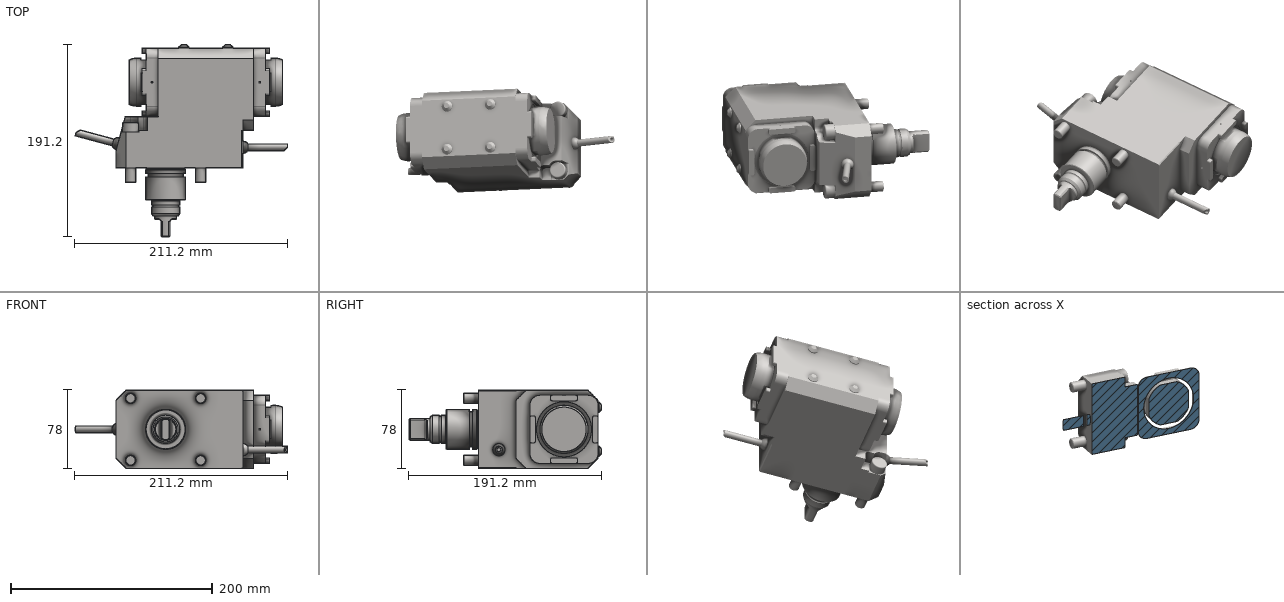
import cadquery as cq
import math


HEIGHT = 78.0
HALF_HEIGHT = HEIGHT / 2
FRONT_LEFT = -49.5
FRONT_RIGHT = 76.7
FRONT_RIGHT_DEPTH = 37.4
REAR_LEFT = -7.4
REAR_RIGHT = 87.5
REAR_Y = 119.1
SHOULDER_Y = 51.0
SLOPE_START_Y = 16.7
SLOPE_ANGLE = 15.0
BEVEL = 10.1
EDGE_BREAK = 1.0

SCREW_X = 34.9
SCREW_Z = 30.8
SCREW_DIA = 10.5
SCREW_PROTRUSION = 14.5
SCREW_CHAMFER = 0.6
HEAD_DIA = 16.0
HEAD_LENGTH = 9.7
HEAD_FILLET = 1.3
COUNTERBORE_RADIUS = 8.2
COUNTERBORE_Y = 35.5
SIDE_POCKET_X = -18.0
SIDE_POCKET_Y = 37.4
SIDE_POCKET_FILLET = 4.0

OUTPUT_X = (REAR_LEFT + REAR_RIGHT) / 2
PLATE_SIZE = 67.8
OUTPUT_Y = REAR_Y - PLATE_SIZE / 2
PLATE_THICKNESS = 12.0
PLATE_FILLET = 10.0
RECESS_DIA = 54.7
RECESS_DEPTH = 1.0
PIN_HOLE_DIA = 1.7
PIN_HOLE_DEPTH = 2.1
PIN_HOLE_INSET = 6.0
LUG_LENGTH = 26.8
LUG_WIDTH = 5.5
LUG_THICKNESS = 4.0
LUG_FILLET = 1.7
CAP_DIA = 48.0
CAP_FACE_DIA = 44.1
CAP_LENGTH = 17.0
CAP_ROUND_LENGTH = 7.2
CAP_FLAT_DISTANCE = 22.2
CAP_FLAT_LENGTH = 5.0

PLUG_SPACING = 43.7
PLUG_DIA = 10.5
PLUG_TOP_DIA = 5.0
PLUG_HEIGHT = 3.4
PLUG_RIM = 0.8

PILOT_DIA = 40.0
PILOT_RADIUS = PILOT_DIA / 2
PILOT_ROOT_RADIUS = 19.0
PILOT_ROOT_Y = -0.8
PILOT_FLARE_Y = -2.0
PILOT_GROOVE_RADIUS = 17.5
PILOT_GROOVE_START_Y = -5.5
PILOT_GROOVE_END_Y = -8.9
PILOT_END_Y = -32.0
PILOT_CHAMFER = 0.6
COLLAR_DIA = 28.0
COLLAR_RADIUS = COLLAR_DIA / 2
COLLAR_NECK_RADIUS = 13.0
COLLAR_END_RADIUS = 12.5
COLLAR_START_Y = -32.7
COLLAR_TAPER_Y = -45.5
COLLAR_END_Y = -48.0
COLLAR_GROOVE_Y = -37.8
COLLAR_GROOVE_DIA = 2.1
SHOULDER_CHAMFER = 0.8
TANG_DIA = 22.0
TANG_THICKNESS = 8.9
TANG_START_Y = -51.3
TANG_END_Y = -68.7
TANG_ROOT_FILLET = 2.1
TANG_SIDE_CHAMFER = 2.0
TANG_TIP_CHAMFER = 1.0

TUBE_DIA = 7.0
TUBE_BORE_DIA = 4.0
TUBE_BORE_DEPTH = 3.2
TUBE_BALL_RADIUS = 6.1
RIGHT_TUBE_LENGTH = 44.5
RIGHT_TUBE_Y = 20.5
RIGHT_TUBE_Z = -20.3
LEFT_TUBE_LENGTH = 43.0
LEFT_TUBE_Y = 24.0

SLOPE_TAN = math.tan(math.radians(SLOPE_ANGLE))


def slope_x(y):
    """X of the sloping left wall at a given Y."""
    return FRONT_LEFT + (y - SLOPE_START_Y) * SLOPE_TAN


def box(x0, x1, y0, y1, z0, z1):
    """Box between two opposite corners."""
    return cq.Workplane("XY").box(x1 - x0, y1 - y0, z1 - z0, centered=False).translate((x0, y0, z0))


def rod_y(x, z, radius, y0, y1):
    """Cylinder parallel to Y from y0 to y1, with y1 above y0."""
    return cq.Workplane("XZ", origin=(x, y1, z)).circle(radius).extrude(y1 - y0)


def mirrored_in_z(body):
    return body.union(body.mirror("XY"))


def edge_wedge_y(x, inward, size, length):
    """Corner wedges that bevel the upper and lower edges at a given X; inward is +1 or -1."""
    top = HALF_HEIGHT
    corner = [(x, top - size), (x, top), (x + inward * size, top)]
    return mirrored_in_z(cq.Workplane("XZ").polyline(corner).close().extrude(-length))


def edge_wedge_x(y, inward, x0, x1):
    """Corner wedges that bevel the upper and lower edges at a given Y; inward is +1 or -1."""
    top = HALF_HEIGHT
    corner = [(y, top - BEVEL), (y, top), (y + inward * BEVEL, top)]
    wedge = cq.Workplane("YZ", origin=(x0, 0, 0)).polyline(corner).close().extrude(x1 - x0)
    return mirrored_in_z(wedge)


def screw_pockets():
    """Counterbores open to the left, each with a shallower pocket running to the right."""
    floor_z = SCREW_Z - COUNTERBORE_RADIUS
    right = -SCREW_X + COUNTERBORE_RADIUS
    diagonal = COUNTERBORE_RADIUS * math.sqrt(0.5)
    counterbore = (
        cq.Workplane("XZ", origin=(0, COUNTERBORE_Y, 0))
        .moveTo(FRONT_LEFT, floor_z)
        .lineTo(-SCREW_X, floor_z)
        .threePointArc((-SCREW_X + diagonal, SCREW_Z - diagonal), (right, SCREW_Z))
        .lineTo(right, HALF_HEIGHT)
        .lineTo(FRONT_LEFT, HALF_HEIGHT)
        .close()
        .extrude(COUNTERBORE_Y - SHOULDER_Y)
    )
    side_floor_z = SCREW_Z - SIDE_POCKET_FILLET
    side_pocket = box(-SCREW_X, SIDE_POCKET_X, SIDE_POCKET_Y, SHOULDER_Y, side_floor_z, HALF_HEIGHT)
    side_pocket = side_pocket.edges("|Y and >X and <Z").fillet(SIDE_POCKET_FILLET)
    return mirrored_in_z(counterbore.union(side_pocket))


def housing():
    outline = [
        (FRONT_LEFT, 0),
        (FRONT_RIGHT, 0),
        (FRONT_RIGHT, FRONT_RIGHT_DEPTH),
        (REAR_RIGHT, FRONT_RIGHT_DEPTH),
        (REAR_RIGHT, REAR_Y),
        (REAR_LEFT, REAR_Y),
        (REAR_LEFT, SHOULDER_Y),
        (slope_x(SHOULDER_Y), SHOULDER_Y),
        (FRONT_LEFT, SLOPE_START_Y),
    ]
    body = cq.Workplane("XY").workplane(offset=-HALF_HEIGHT).polyline(outline).close()
    body = body.extrude(2 * HALF_HEIGHT)
    body = body.cut(edge_wedge_y(FRONT_LEFT, 1, BEVEL, SHOULDER_Y))
    body = body.cut(edge_wedge_y(FRONT_RIGHT, -1, EDGE_BREAK, FRONT_RIGHT_DEPTH))
    body = body.cut(edge_wedge_x(REAR_Y, -1, REAR_LEFT, REAR_RIGHT))
    body = body.cut(edge_wedge_x(FRONT_RIGHT_DEPTH, 1, FRONT_RIGHT, REAR_RIGHT))
    return body.cut(screw_pockets())


def mounting_screws():
    """Four threaded ends below the front face and the two pairs of heads on the left."""
    head_top = COUNTERBORE_Y + HEAD_LENGTH
    screws = cq.Workplane("XY")
    for z in (-SCREW_Z, SCREW_Z):
        for x in (-SCREW_X, SCREW_X):
            shank = rod_y(x, z, SCREW_DIA / 2, -SCREW_PROTRUSION, COUNTERBORE_Y)
            screws = screws.union(shank.faces("<Y").chamfer(SCREW_CHAMFER))
        head = rod_y(-SCREW_X, z, HEAD_DIA / 2, COUNTERBORE_Y, head_top)
        screws = screws.union(head.faces(">Y").fillet(HEAD_FILLET))
    return screws


def cap():
    """Round cap on the +X axis, starting at the recess floor, with a curved outer edge."""
    start = -RECESS_DEPTH
    radius = CAP_DIA / 2
    face_radius = CAP_FACE_DIA / 2
    round_start = CAP_LENGTH - CAP_ROUND_LENGTH
    drop = radius - face_radius
    arc_radius = (CAP_ROUND_LENGTH**2 + drop**2) / (2 * drop)
    half_angle = math.asin(CAP_ROUND_LENGTH / arc_radius) / 2
    arc_middle = (
        round_start + arc_radius * math.sin(half_angle),
        radius - arc_radius * (1 - math.cos(half_angle)),
    )
    body = (
        cq.Workplane("XY")
        .moveTo(start, 0)
        .lineTo(start, radius)
        .lineTo(round_start, radius)
        .threePointArc(arc_middle, (CAP_LENGTH, face_radius))
        .lineTo(CAP_LENGTH, 0)
        .close()
        .revolve(360, (0, 0, 0), (1, 0, 0))
    )
    flat = box(start, CAP_FLAT_LENGTH, -radius, radius, CAP_FLAT_DISTANCE, radius)
    for quarter in range(4):
        body = body.cut(flat.rotate((0, 0, 0), (1, 0, 0), 90 * quarter))
    return body


def output_end():
    """Flange plate, four lugs and cap; the outer plate face is in the plane X = 0."""
    half = PLATE_SIZE / 2
    plate = box(-PLATE_THICKNESS, 0, -half, half, -half, half).edges("|X").fillet(PLATE_FILLET)
    plate = plate.cut(cq.Workplane("YZ").circle(RECESS_DIA / 2).extrude(-RECESS_DEPTH))
    for plane, origin_y, origin_z in (("XY", 0, half), ("XZ", -half, 0)):
        pin_hole = cq.Workplane(plane, origin=(-PIN_HOLE_INSET, origin_y, origin_z))
        plate = plate.cut(pin_hole.circle(PIN_HOLE_DIA / 2).extrude(-PIN_HOLE_DEPTH))
    lug = box(0, LUG_THICKNESS, -LUG_LENGTH / 2, LUG_LENGTH / 2, half - LUG_WIDTH, half)
    lug = lug.edges("|X").fillet(LUG_FILLET)
    for quarter in range(4):
        plate = plate.union(lug.rotate((0, 0, 0), (1, 0, 0), 90 * quarter))
    return plate.union(cap())


def output_ends():
    half_span = (REAR_RIGHT - REAR_LEFT) / 2 + PLATE_THICKNESS
    end = output_end().translate((half_span, 0, 0))
    return end.union(end.mirror("YZ")).translate((OUTPUT_X, OUTPUT_Y, 0))


def rear_plugs():
    """Four tapered plugs in a square on the rear face."""
    plug = (
        cq.Workplane("XY")
        .moveTo(0, 0)
        .lineTo(PLUG_DIA / 2, 0)
        .lineTo(PLUG_DIA / 2, PLUG_RIM)
        .lineTo(PLUG_TOP_DIA / 2, PLUG_HEIGHT)
        .lineTo(0, PLUG_HEIGHT)
        .close()
        .revolve(360, (0, 0, 0), (0, 1, 0))
    )
    plugs = cq.Workplane("XY")
    half = PLUG_SPACING / 2
    for x in (OUTPUT_X - half, OUTPUT_X + half):
        for z in (-half, half):
            plugs = plugs.union(plug.translate((x, REAR_Y, z)))
    return plugs


def shaft():
    """Turned input shaft, given as radius and Y from the housing outwards."""
    tang_radius = TANG_DIA / 2
    profile = [
        (0, 0),
        (PILOT_ROOT_RADIUS, 0),
        (PILOT_ROOT_RADIUS, PILOT_ROOT_Y),
        (PILOT_RADIUS, PILOT_FLARE_Y),
        (PILOT_RADIUS, PILOT_GROOVE_START_Y),
        (PILOT_GROOVE_RADIUS, PILOT_GROOVE_START_Y),
        (PILOT_GROOVE_RADIUS, PILOT_GROOVE_END_Y),
        (PILOT_RADIUS, PILOT_GROOVE_END_Y),
        (PILOT_RADIUS, PILOT_END_Y + PILOT_CHAMFER),
        (PILOT_RADIUS - PILOT_CHAMFER, PILOT_END_Y),
        (COLLAR_NECK_RADIUS, PILOT_END_Y),
        (COLLAR_RADIUS, COLLAR_START_Y),
        (COLLAR_RADIUS, COLLAR_TAPER_Y),
        (COLLAR_END_RADIUS, COLLAR_END_Y),
        (tang_radius, COLLAR_END_Y),
        (tang_radius, TANG_START_Y + SHOULDER_CHAMFER),
        (tang_radius - SHOULDER_CHAMFER, TANG_START_Y),
        (0, TANG_START_Y),
    ]
    turned = cq.Workplane("XY").polyline(profile).close().revolve(360, (0, 0, 0), (0, 1, 0))
    groove = cq.Workplane("XY").center(COLLAR_RADIUS, COLLAR_GROOVE_Y).circle(COLLAR_GROOVE_DIA / 2)
    groove = groove.revolve(360, (-COLLAR_RADIUS, 0, 0), (-COLLAR_RADIUS, 1, 0))
    return turned.cut(groove).union(tang())


def tang():
    """Flat drive tang with chamfered edges and a root that reaches over the shoulder chamfer."""
    radius = TANG_DIA / 2
    half = TANG_THICKNESS / 2
    blade = box(-half, half, TANG_END_Y, TANG_START_Y, -radius, radius)
    blade = blade.edges("|Y").chamfer(TANG_SIDE_CHAMFER)
    blade = blade.faces("<Y").chamfer(TANG_TIP_CHAMFER)
    base_y = TANG_START_Y + SHOULDER_CHAMFER
    fillet_end_y = TANG_START_Y - TANG_ROOT_FILLET
    root_half = half + TANG_ROOT_FILLET
    diagonal = TANG_ROOT_FILLET * math.sqrt(0.5)
    arc_x = root_half - diagonal
    arc_y = fillet_end_y + diagonal
    root = (
        cq.Workplane("XY", origin=(0, 0, -radius))
        .moveTo(-root_half, base_y)
        .lineTo(-root_half, TANG_START_Y)
        .threePointArc((-arc_x, arc_y), (-half, fillet_end_y))
        .lineTo(half, fillet_end_y)
        .threePointArc((arc_x, arc_y), (root_half, TANG_START_Y))
        .lineTo(root_half, base_y)
        .close()
        .extrude(TANG_DIA)
    )
    return blade.union(root).intersect(rod_y(0, 0, radius, TANG_END_Y, base_y))


def tube(length):
    """Tube along +X from a half ball at the origin; its bored end is cut at 45 degrees below the axis."""
    radius = TUBE_DIA / 2
    body = cq.Workplane("YZ").circle(radius).extrude(length)
    bore = cq.Workplane("YZ", origin=(length, 0, 0)).circle(TUBE_BORE_DIA / 2).extrude(-TUBE_BORE_DEPTH)
    cut_corner = (
        cq.Workplane("XY", origin=(0, 0, -radius))
        .polyline([(length, 0), (length, -radius), (length - radius, -radius)])
        .close()
        .extrude(TUBE_DIA)
    )
    diagonal = TUBE_BALL_RADIUS * math.sqrt(0.5)
    ball = (
        cq.Workplane("XY")
        .moveTo(0, 0)
        .lineTo(0, TUBE_BALL_RADIUS)
        .threePointArc((diagonal, diagonal), (TUBE_BALL_RADIUS, 0))
        .close()
        .revolve(360, (0, 0, 0), (1, 0, 0))
    )
    return body.cut(cut_corner).cut(bore).union(ball)


def coolant_tubes():
    """A straight tube on the right and one square to the sloping wall on the left."""
    right = tube(RIGHT_TUBE_LENGTH).translate((FRONT_RIGHT, RIGHT_TUBE_Y, RIGHT_TUBE_Z))
    left = tube(LEFT_TUBE_LENGTH).rotate((0, 0, 0), (0, 0, 1), 180 - SLOPE_ANGLE)
    left = left.translate((slope_x(LEFT_TUBE_Y), LEFT_TUBE_Y, 0))
    return right.union(left)


result = (
    housing()
    .union(mounting_screws())
    .union(output_ends())
    .union(rear_plugs())
    .union(shaft())
    .union(coolant_tubes())
)